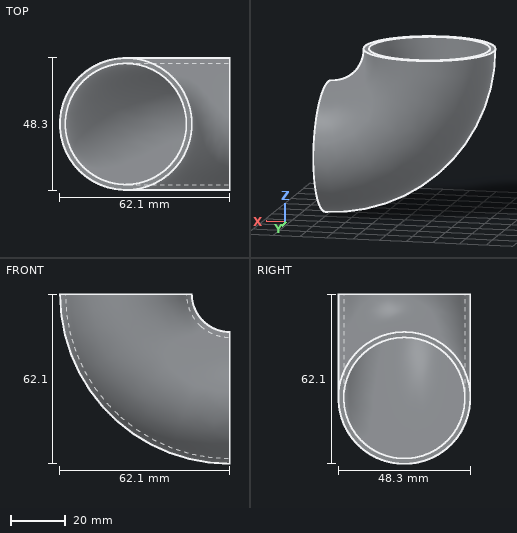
import cadquery as cq

outer_diameter = 48.3
wall_thickness = 2.0
bend_radius = 38.0
bend_angle = 90.0

outer_radius = outer_diameter / 2
inner_radius = outer_radius - wall_thickness


def make_elbow():
    """Sweep the pipe ring about the bend axis, which runs along Y through the origin.

    The upper end opens upward in the XY plane; the other end opens toward +X in the YZ plane.
    """
    ring = cq.Workplane("XY").center(-bend_radius, 0).circle(outer_radius).circle(inner_radius)
    axis_start = (bend_radius, 0)
    axis_end = (bend_radius, -1)
    return ring.revolve(bend_angle, axis_start, axis_end)


result = make_elbow()